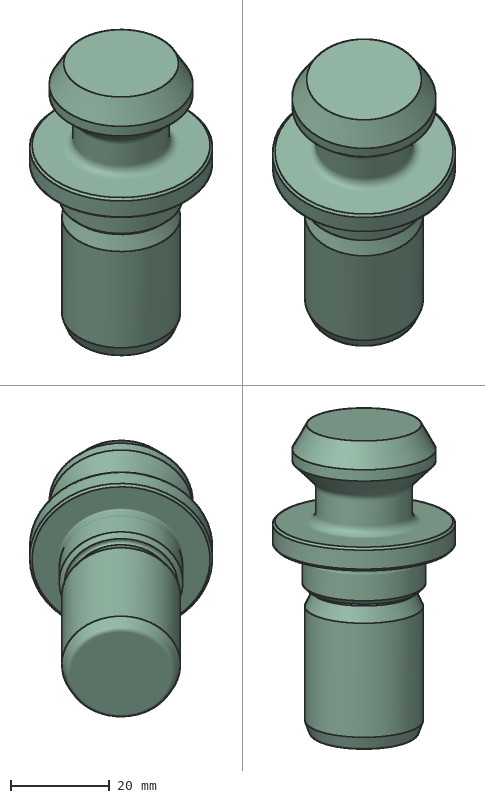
import cadquery as cq
import math


head_radius = 14.55
head_top_radius = 11.6
head_top_z = 25.5
head_band_top_z = 20.3
head_band_height = 2.4

neck_radius = 9.8
neck_fillet = 2.0

flange_radius = 18.5
flange_thickness = 5.0
flange_chamfer = 0.5

pilot_radius = 12.5
pilot_length = 9.0
pilot_chamfer = 1.0
undercut_depth = 0.1
undercut_fillet = 0.3
undercut_length = 2.1
undercut_runout = 0.4

relief_radius = 10.5
relief_fillet = 0.5
relief_flat_end_z = -9.7
shank_top_z = -12.9

shank_radius = 12.0
shank_end_z = -40.0
lead_in_length = 3.0
lead_in_angle = math.radians(20)
tip_fillet = 1.0


def arc_point(center, radius, angle):
    """Point on a circle in the (radius, Z) half-plane, angle in radians from outward."""
    return (center[0] + radius * math.cos(angle), center[1] + radius * math.sin(angle))


def add_arc(outline, center, radius, start_angle, end_angle):
    """Continue the outline with a line to the arc's start, then the arc itself."""
    middle_angle = (start_angle + end_angle) / 2
    outline = outline.lineTo(*arc_point(center, radius, start_angle))
    middle = arc_point(center, radius, middle_angle)
    end = arc_point(center, radius, end_angle)
    return outline.threePointArc(middle, end)


def add_head_and_neck(outline):
    """Head from the top face down through both neck fillets to the flange."""
    band_bottom_z = head_band_top_z - head_band_height
    corner_z = band_bottom_z - (head_radius - neck_radius)
    tangent_length = neck_fillet * math.tan(math.pi / 8)
    fillet_center_r = neck_radius + neck_fillet
    upper_center = (fillet_center_r, corner_z - tangent_length)
    lower_center = (fillet_center_r, flange_thickness + neck_fillet)

    outline = outline.lineTo(head_top_radius, head_top_z)
    outline = outline.lineTo(head_radius, head_band_top_z)
    outline = outline.lineTo(head_radius, band_bottom_z)
    outline = add_arc(outline, upper_center, neck_fillet, 0.75 * math.pi, math.pi)
    return add_arc(outline, lower_center, neck_fillet, math.pi, 1.5 * math.pi)


def add_flange(outline):
    """Flange rim with equal chamfers on both edges."""
    face_radius = flange_radius - flange_chamfer
    outline = outline.lineTo(face_radius, flange_thickness)
    outline = outline.lineTo(flange_radius, flange_thickness - flange_chamfer)
    outline = outline.lineTo(flange_radius, flange_chamfer)
    return outline.lineTo(face_radius, 0)


def add_pilot(outline):
    """Undercut, pilot cylinder and its 45 degree lower chamfer."""
    undercut_radius = pilot_radius - undercut_depth
    fillet_center = (undercut_radius + undercut_fillet, -undercut_fillet)

    outline = add_arc(outline, fillet_center, undercut_fillet, 0.5 * math.pi, math.pi)
    outline = outline.lineTo(undercut_radius, -undercut_length)
    outline = outline.lineTo(pilot_radius, -undercut_length - undercut_runout)
    outline = outline.lineTo(pilot_radius, pilot_chamfer - pilot_length)
    return outline.lineTo(pilot_radius - pilot_chamfer, -pilot_length)


def add_relief(outline):
    """Filleted relief groove and the cone that widens to the shank."""
    fillet_center = (relief_radius + relief_fillet, -pilot_length - relief_fillet)

    outline = add_arc(outline, fillet_center, relief_fillet, 0.5 * math.pi, math.pi)
    outline = outline.lineTo(relief_radius, relief_flat_end_z)
    return outline.lineTo(shank_radius, shank_top_z)


def add_shank(outline):
    """Shank cylinder, tapered lead-in and rounded tip edge."""
    corner_radius = shank_radius - lead_in_length * math.tan(lead_in_angle)
    tangent_length = tip_fillet * math.tan((math.pi / 2 - lead_in_angle) / 2)
    fillet_center = (corner_radius - tangent_length, shank_end_z + tip_fillet)

    outline = outline.lineTo(shank_radius, shank_end_z + lead_in_length)
    outline = add_arc(outline, fillet_center, tip_fillet, -lead_in_angle, -0.5 * math.pi)
    return outline.lineTo(0, shank_end_z)


profile = cq.Workplane("XZ").moveTo(0, head_top_z)
profile = add_head_and_neck(profile)
profile = add_flange(profile)
profile = add_pilot(profile)
profile = add_relief(profile)
profile = add_shank(profile)

result = profile.close().revolve(360, (0, 0, 0), (0, 1, 0))